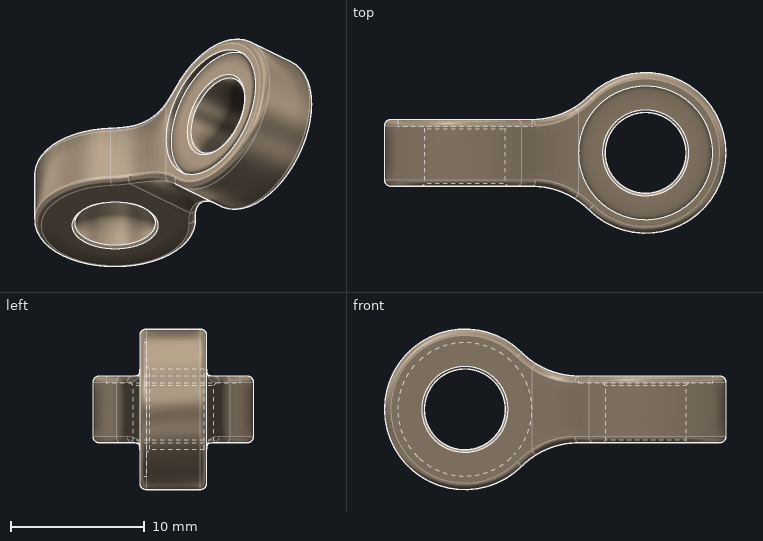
import cadquery as cq
import math

length = 25.5
ring_diameter = 12.0
thickness = 5.0
bore_diameter = 6.02
bore_chamfer = 0.2
edge_radius = 0.48
recess_diameter = 10.0
recess_depth = 0.5

ring_radius = ring_diameter / 2
half_thickness = thickness / 2
ring_offset = length / 2 - ring_radius
blend_radius = ring_radius
center_distance = ring_radius + blend_radius
blend_center_height = half_thickness + blend_radius
blend_run = math.sqrt(center_distance**2 - blend_center_height**2)


def eyelet_outline(plane):
    """Ring at local x = 0, blended by concave arcs into a straight tail along local +x."""
    tangent_x = blend_run * ring_radius / center_distance
    tangent_y = blend_center_height * ring_radius / center_distance
    middle_angle = (math.atan2(-blend_center_height, -blend_run) - math.pi / 2) / 2
    middle_x = blend_run + blend_radius * math.cos(middle_angle)
    middle_y = blend_center_height + blend_radius * math.sin(middle_angle)
    tail_end = length - ring_radius
    return (
        cq.Workplane(plane)
        .moveTo(tangent_x, tangent_y)
        .threePointArc((-ring_radius, 0), (tangent_x, -tangent_y))
        .threePointArc((middle_x, -middle_y), (blend_run, -half_thickness))
        .lineTo(tail_end, -half_thickness)
        .lineTo(tail_end, half_thickness)
        .lineTo(blend_run, half_thickness)
        .threePointArc((middle_x, middle_y), (tangent_x, tangent_y))
        .close()
        .extrude(ring_radius, both=True)
    )


left_plane = cq.Plane(origin=(-ring_offset, 0, 0), xDir=(1, 0, 0), normal=(0, 1, 0))
right_plane = cq.Plane(origin=(ring_offset, 0, 0), xDir=(-1, 0, 0), normal=(0, 0, 1))


def bore_cutter(plane):
    """Through bore with a chamfer at both mouths and a shallow recess on one face."""
    bore_radius = bore_diameter / 2
    mouth_radius = bore_radius + bore_chamfer
    floor = half_thickness - recess_depth
    section_plane = cq.Plane(origin=plane.origin, xDir=plane.xDir, normal=-plane.yDir)
    return (
        cq.Workplane(section_plane)
        .moveTo(0, -half_thickness)
        .lineTo(mouth_radius, -half_thickness)
        .lineTo(bore_radius, -half_thickness + bore_chamfer)
        .lineTo(bore_radius, floor - bore_chamfer)
        .lineTo(mouth_radius, floor)
        .lineTo(recess_diameter / 2, floor)
        .lineTo(recess_diameter / 2, half_thickness)
        .lineTo(0, half_thickness)
        .close()
        .revolve(360, (0, 0, 0), (0, 1, 0))
    )


body = eyelet_outline(left_plane).intersect(eyelet_outline(right_plane))
body = body.edges().fillet(edge_radius)
for ring_plane in (left_plane, right_plane):
    body = body.cut(bore_cutter(ring_plane))

result = body